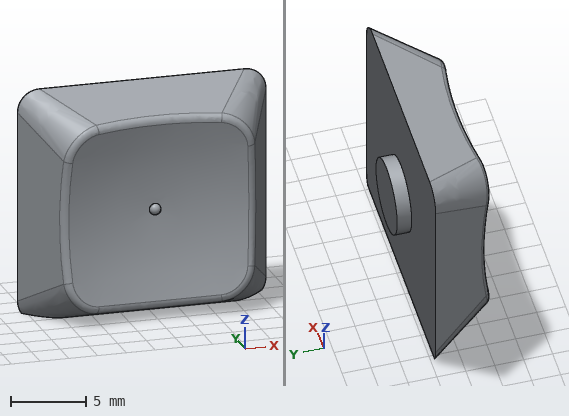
import cadquery as cq

base_width = 17.3
base_height = 16.33
base_corner = 1.52
trim_z = -7.55

loft_depth = 4.85
front_width = 12.49
front_height = 12.63
front_corner = 2.45

dish_radius = 23.53
dish_floor = 3.08
rim_fillet = 0.48
bump_radius = 0.4

stem_diameter = 5.3
stem_length = 1.0


def rounded_rectangle(width, height, corner):
    return cq.Sketch().rect(width, height).vertices().fillet(corner)


def dish_sphere():
    center_y = -(dish_floor + dish_radius)
    return cq.Workplane("XY").sphere(dish_radius).translate((0, center_y, 0))


body = (
    cq.Workplane("XZ")
    .placeSketch(
        rounded_rectangle(base_width, base_height, base_corner),
        rounded_rectangle(front_width, front_height, front_corner).moved(
            cq.Location(cq.Vector(0, 0, loft_depth))
        ),
    )
    .loft(ruled=True)
)
body = body.cut(dish_sphere())
body = body.faces("%SPHERE").edges().fillet(rim_fillet)

trim_size = 2 * base_width
trim_block = cq.Workplane("XY").workplane(offset=trim_z).rect(trim_size, trim_size).extrude(-trim_size)
body = body.cut(trim_block)

bump = cq.Workplane("XY").sphere(bump_radius).translate((0, -dish_floor, 0))
stem = cq.Workplane("XZ").circle(stem_diameter / 2).extrude(-stem_length)

result = body.union(bump).union(stem)